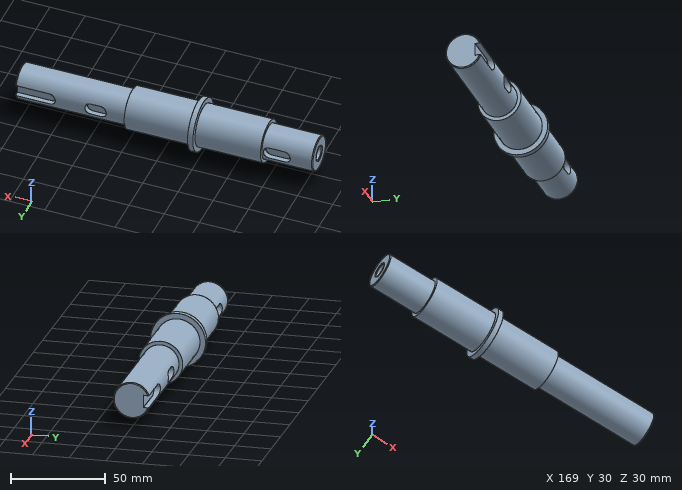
import cadquery as cq

shaft_length = 169.0
journal_diameter = 20.0
body_diameter = 24.0
collar_diameter = 30.0

body_start = 28.7
body_end = 106.1
collar_start = 65.9
collar_width = 3.0
end_chamfer = 0.5

bore_diameter = 8.0
bore_depth = 20.3
bore_mouth_diameter = 9.0

key_width = 6.8
key_depth = 3.5
left_key_start = 12.7
left_key_end = 27.9
middle_key_start = 117.1
middle_key_end = 129.3
end_key_start = 146.2


def cylinder_along_x(start, end, diameter):
    return cq.Workplane("YZ", origin=(start, 0, 0)).circle(diameter / 2).extrude(end - start)


def keyway(start, end):
    floor_y = journal_diameter / 2 - key_depth
    return (
        cq.Workplane("XZ", origin=((start + end) / 2, floor_y, 0))
        .slot2D(end - start, key_width)
        .extrude(-2 * key_depth)
    )


journal = cylinder_along_x(0, shaft_length, journal_diameter).edges().chamfer(end_chamfer)
body = cylinder_along_x(body_start, body_end, body_diameter)
collar = cylinder_along_x(collar_start, collar_start + collar_width, collar_diameter)
shaft = journal.union(body).union(collar)

bore = cylinder_along_x(0, bore_depth, bore_diameter)
mouth_depth = (bore_mouth_diameter - bore_diameter) / 2
mouth = cq.Workplane("YZ").circle(bore_mouth_diameter / 2).extrude(mouth_depth, taper=45)
shaft = shaft.cut(bore).cut(mouth)

shaft = shaft.cut(keyway(left_key_start, left_key_end))
shaft = shaft.cut(keyway(middle_key_start, middle_key_end))
shaft = shaft.cut(keyway(end_key_start, shaft_length + key_width))

result = shaft